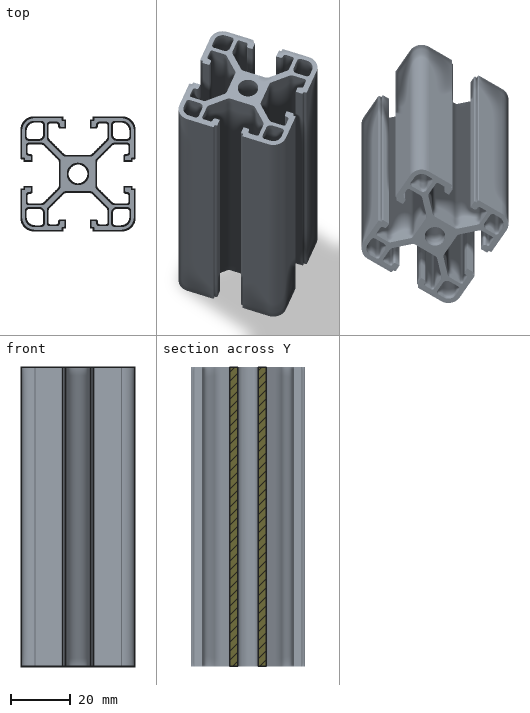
import cadquery as cq

side = 38.0
length = 100.0
half_side = side / 2
corner_radius = 4.5

core_half = 6.1
bore_diameter = 6.8

flange_thickness = 1.9
cavity_wall = 1.6
web_thickness = 1.3
web_inner = 10.1
rib_offset = 1.55
rib_fillet = 1.5

mouth_half = 4.25
recess_half = 5.1
recess_depth = 1.0
lip_depth = 3.6
lip_back = 6.4
slot_fillet = 0.7
mouth_fillet = 0.3

cavity_min = web_inner + web_thickness
cavity_max = half_side - cavity_wall
cavity_outer_radius = corner_radius - cavity_wall
cavity_side_radius = 1.0
cavity_inner_radius = 1.6

quarter_turns = (0, 90, 180, 270)


def fillet_upright(body, x, y, radius):
    """Round the edge parallel to Z that stands at (x, y)."""
    edge = cq.selectors.NearestToPointSelector((x, y, length / 2))
    return body.edges(edge).fillet(radius)


def slot_cutter():
    """T-slot opening on the +Y side, symmetric about the YZ plane."""
    flange_inner = half_side - flange_thickness
    lip_end = half_side - lip_depth
    recess_floor = half_side - recess_depth
    right_side = [
        (core_half - rib_offset, core_half),
        (web_inner, web_inner + rib_offset),
        (web_inner, flange_inner),
        (lip_back, flange_inner),
        (lip_back, lip_end),
        (mouth_half, lip_end),
        (mouth_half, recess_floor),
        (recess_half, recess_floor),
        (recess_half, half_side),
    ]
    left_side = [(-x, y) for x, y in reversed(right_side)]
    cutter = cq.Workplane("XY").polyline(right_side + left_side).close().extrude(length)
    for sign in (-1, 1):
        cutter = fillet_upright(cutter, sign * web_inner, flange_inner, slot_fillet)
        cutter = fillet_upright(cutter, sign * lip_back, flange_inner, slot_fillet)
        cutter = fillet_upright(cutter, sign * lip_back, lip_end, slot_fillet)
        cutter = fillet_upright(cutter, sign * mouth_half, recess_floor, mouth_fillet)
        cutter = fillet_upright(cutter, sign * web_inner, web_inner + rib_offset, rib_fillet)
        cutter = fillet_upright(cutter, sign * (core_half - rib_offset), core_half, rib_fillet)
    return cutter


def cavity_cutter():
    """Rounded square hollow in the +X +Y corner."""
    size = cavity_max - cavity_min
    cutter = cq.Workplane("XY").box(size, size, length, centered=False)
    cutter = cutter.translate((cavity_min, cavity_min, 0))
    cutter = fillet_upright(cutter, cavity_max, cavity_max, cavity_outer_radius)
    cutter = fillet_upright(cutter, cavity_min, cavity_max, cavity_side_radius)
    cutter = fillet_upright(cutter, cavity_max, cavity_min, cavity_side_radius)
    return fillet_upright(cutter, cavity_min, cavity_min, cavity_inner_radius)


def round_recess_edges(bar):
    """Round the outer corners of the stepped recess on all four sides."""
    for sign in (-1, 1):
        for end in (-1, 1):
            bar = fillet_upright(bar, sign * recess_half, end * half_side, mouth_fillet)
            bar = fillet_upright(bar, end * half_side, sign * recess_half, mouth_fillet)
    return bar


def build_profile():
    """Rounded square bar with four slots, four corner cavities and the bore."""
    bar = cq.Workplane("XY").rect(side, side).extrude(length)
    bar = bar.edges("|Z").fillet(corner_radius)
    slot = slot_cutter()
    cavity = cavity_cutter()
    for angle in quarter_turns:
        bar = bar.cut(slot.rotate((0, 0, 0), (0, 0, 1), angle))
        bar = bar.cut(cavity.rotate((0, 0, 0), (0, 0, 1), angle))
    bar = round_recess_edges(bar)
    bore = cq.Workplane("XY").circle(bore_diameter / 2).extrude(length)
    return bar.cut(bore)


result = build_profile()